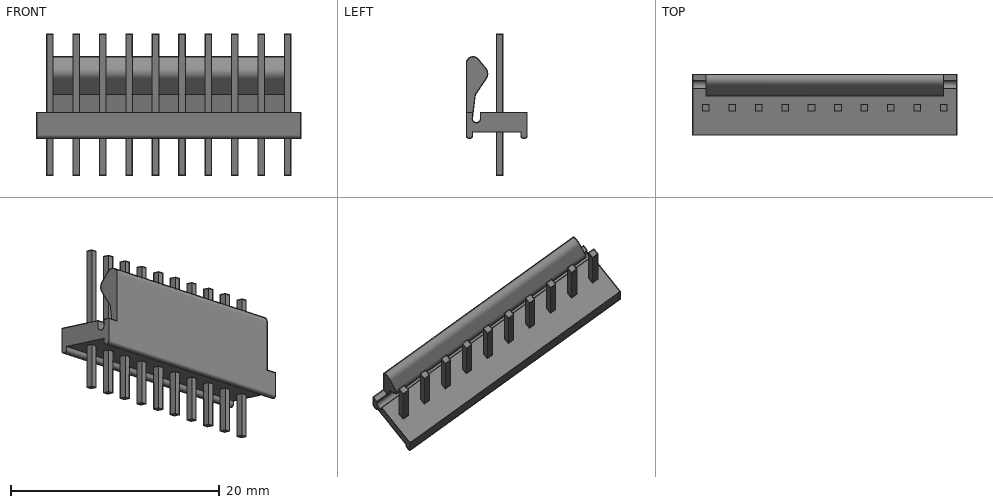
import cadquery as cq
import math

length = 25.4
depth = 5.85
back_y = depth / 2
front_y = -depth / 2
body_thickness = 1.9
foot_width = 0.6
foot_height = 0.6
foot_radius = foot_width / 2

slot_width = 0.75
slot_depth = 1.0
slot_wall = 0.58
slot_radius = slot_width / 2
slot_arc_z = -slot_depth + slot_radius

wall_length = 22.85
wall_top = 5.35
head_radius = 0.64
nose_radius = 0.81
nose_reach = 2.05
nose_z = 3.7
kink_thickness = 0.86
kink_z = 1.7

pin_count = 10
pin_pitch = 2.55
pin_size = 0.64
pin_height = 13.6
pin_top = 7.52
pin_y = -0.28


def point_on_circle(center, radius, angle):
    return (center[0] + radius * math.cos(angle), center[1] + radius * math.sin(angle))


def extrude_along_x(profile, width):
    """Extrude a YZ profile symmetrically about X = 0."""
    return profile.extrude(width / 2, both=True)


def make_base():
    foot_end = -body_thickness - foot_height
    foot_arc_z = foot_end + foot_radius
    slot_back = back_y - slot_wall
    slot_front = slot_back - slot_width
    profile = (
        cq.Workplane("YZ")
        .moveTo(front_y, 0)
        .lineTo(slot_front, 0)
        .lineTo(slot_front, slot_arc_z)
        .threePointArc((slot_front + slot_radius, -slot_depth), (slot_back, slot_arc_z))
        .lineTo(slot_back, 0)
        .lineTo(back_y, 0)
        .lineTo(back_y, foot_arc_z)
        .threePointArc((back_y - foot_radius, foot_end), (back_y - foot_width, foot_arc_z))
        .lineTo(back_y - foot_width, -body_thickness)
        .lineTo(front_y + foot_width, -body_thickness)
        .lineTo(front_y + foot_width, foot_arc_z)
        .threePointArc((front_y + foot_radius, foot_end), (front_y, foot_arc_z))
        .close()
    )
    return extrude_along_x(profile, length)


def make_locking_wall():
    """Tapered wall with a rounded head and a nose that overhangs the slot.

    The outline is laid out as (distance in front of the back face, Z).
    """
    head = (head_radius, wall_top - head_radius)
    nose = (nose_reach - nose_radius, nose_z)
    kink = (kink_thickness, kink_z)
    root = (slot_wall, slot_arc_z)

    head_to_nose = math.atan2(nose[1] - head[1], nose[0] - head[0])
    spacing = math.dist(head, nose)
    upper_normal = head_to_nose + math.acos((head_radius - nose_radius) / spacing)

    nose_to_kink = math.atan2(kink[1] - nose[1], kink[0] - nose[0])
    lower_normal = nose_to_kink + math.acos(nose_radius / math.dist(nose, kink))

    def place(point):
        return (back_y - point[0], point[1])

    def head_point(angle):
        return place(point_on_circle(head, head_radius, angle))

    def nose_point(angle):
        return place(point_on_circle(nose, nose_radius, angle))

    profile = (
        cq.Workplane("YZ")
        .moveTo(back_y, slot_arc_z)
        .lineTo(*head_point(math.pi))
        .threePointArc(head_point(math.pi / 2), head_point(upper_normal))
        .lineTo(*nose_point(upper_normal))
        .threePointArc(nose_point(0), nose_point(lower_normal))
        .lineTo(*place(kink))
        .lineTo(*place(root))
        .close()
    )
    return extrude_along_x(profile, wall_length)


def make_pins():
    pin_bottom = pin_top - pin_height
    return (
        cq.Workplane("XY", origin=(0, pin_y, pin_bottom))
        .rarray(pin_pitch, 0.25, pin_count, 1)
        .rect(pin_size, pin_size)
        .extrude(pin_height)
    )


result = make_base().union(make_locking_wall()).union(make_pins())